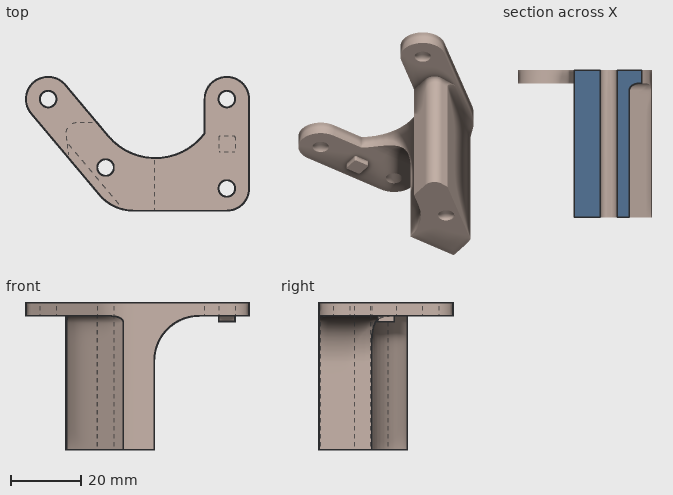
import cadquery as cq
import math

plate_thickness = 3.81
hole_diameter = 4.65
hole_pitch = 25.4
lug_radius = 6.35
arm_angle = math.radians(50)
bend_radius = 12.7
scoop_radius = 17.46
scoop_center_x = 5.08

leg_height = 38.1
leg_right_x = 4.8
leg_gusset_radius = 12.7
leg_left_x = -20.1
leg_left_tilt = math.radians(7)
leg_back_y = 18.8
leg_corner_radius = 3.1
recess_depth = 2.54
recess_fillet_radius = 1.905

pad_width = 4.65
pad_height = 1.6
pad_corner_radius = 0.5

cutter_reach = 50.8

right_front_hole = (hole_pitch, 0)
right_back_hole = (hole_pitch, hole_pitch)
arm_end_hole = (-hole_pitch, hole_pitch)
front_y = -lug_radius

arm_direction = (math.cos(arm_angle), -math.sin(arm_angle))
arm_normal = (math.sin(arm_angle), math.cos(arm_angle))


def offset(point, along, across):
    """Move a point along the slanted arm and across it, towards the inner edge."""
    return (
        point[0] + along * arm_direction[0] + across * arm_normal[0],
        point[1] + along * arm_direction[1] + across * arm_normal[1],
    )


def polar(center, radius, angle):
    """Point on a circle at an angle measured from the first axis."""
    return (center[0] + radius * math.cos(angle), center[1] + radius * math.sin(angle))


def x_at(y, across):
    """X of the point at ordinate y that lies a given distance across from the arm's centre line."""
    return arm_end_hole[0] + (across - (y - arm_end_hole[1]) * arm_normal[1]) / arm_normal[0]


def y_at(x, across):
    """Y of the point at abscissa x that lies a given distance across from the arm's centre line."""
    return arm_end_hole[1] + (across - (x - arm_end_hole[0]) * arm_normal[0]) / arm_normal[1]


arm_middle_hole = offset(arm_end_hole, hole_pitch, 0)

bend_center_y = front_y + bend_radius
bend_center = (x_at(bend_center_y, bend_radius - lug_radius), bend_center_y)

scoop_center_y = y_at(scoop_center_x, lug_radius + scoop_radius)
scoop_center = (scoop_center_x, scoop_center_y)
scoop_start = offset(scoop_center, 0, -scoop_radius)
scoop_bottom = (scoop_center_x, scoop_center_y - scoop_radius)
lug_inner_x = hole_pitch - lug_radius
scoop_end = (
    lug_inner_x,
    scoop_center_y - math.sqrt(scoop_radius**2 - (lug_inner_x - scoop_center_x) ** 2),
)

gusset_end_x = leg_right_x + leg_gusset_radius


def extrude_between(outline, bottom_z, top_z):
    return outline.extrude(top_z - bottom_z).translate((0, 0, bottom_z))


def plate_outline():
    right_x = hole_pitch + lug_radius
    bend_start = offset(bend_center, 0, -bend_radius)
    bend_middle = polar(bend_center, bend_radius, -(math.pi + arm_angle) / 2)
    return (
        cq.Workplane("XY")
        .moveTo(*offset(arm_end_hole, 0, -lug_radius))
        .lineTo(*bend_start)
        .threePointArc(bend_middle, (bend_center[0], front_y))
        .lineTo(hole_pitch, front_y)
        .threePointArc(polar(right_front_hole, lug_radius, -math.pi / 4), (right_x, 0))
        .lineTo(right_x, hole_pitch)
        .threePointArc((hole_pitch, hole_pitch + lug_radius), (lug_inner_x, hole_pitch))
        .lineTo(*scoop_end)
        .threePointArc(scoop_bottom, scoop_start)
        .lineTo(*offset(arm_end_hole, 0, lug_radius))
        .threePointArc(offset(arm_end_hole, -lug_radius, 0), offset(arm_end_hole, 0, -lug_radius))
        .close()
    )


def leg_block():
    """Upright block bounded by the leg's left and back sides and the far end of the gusset."""
    face_corner_y = y_at(leg_left_x, recess_depth - lug_radius)
    slope = math.tan(leg_left_tilt)
    outline = (
        cq.Workplane("XY")
        .moveTo(leg_left_x + (face_corner_y - front_y) * slope, front_y)
        .lineTo(leg_left_x - (leg_back_y - face_corner_y) * slope, leg_back_y)
        .lineTo(gusset_end_x, leg_back_y)
        .lineTo(gusset_end_x, front_y)
        .close()
    )
    block = extrude_between(outline, -leg_height, 0)
    return block.edges("|Z").edges("<X").fillet(leg_corner_radius)


def gusset_cutter():
    """Space to the right of the leg, rounded where the leg runs out into the plate."""
    arc_center = (gusset_end_x, -leg_gusset_radius)
    return (
        cq.Workplane("XZ")
        .moveTo(leg_right_x, -leg_height)
        .lineTo(leg_right_x, -leg_gusset_radius)
        .threePointArc(polar(arc_center, leg_gusset_radius, 3 * math.pi / 4), (gusset_end_x, 0))
        .lineTo(gusset_end_x, -leg_height)
        .close()
        .extrude(cutter_reach, both=True)
    )


def recess_cutter():
    """Strip along the slanted plate edge, with a fillet where the leg face meets the plate."""
    strip = cq.Workplane("XY").box(
        2 * cutter_reach, 2 * recess_depth, leg_height, centered=(True, True, False)
    )
    strip = strip.edges(">Y and >Z").fillet(recess_fillet_radius)
    edge_point = offset(arm_end_hole, 0, -lug_radius)
    return strip.rotate((0, 0, 0), (0, 0, 1), -math.degrees(arm_angle)).translate(
        (edge_point[0], edge_point[1], -leg_height)
    )


def leg():
    outline_prism = extrude_between(plate_outline(), -leg_height, 0)
    return outline_prism.intersect(leg_block()).cut(gusset_cutter()).cut(recess_cutter())


def pad():
    middle_y = hole_pitch / 2
    block = cq.Workplane("XY").box(pad_width, pad_width, pad_height, centered=(True, True, False))
    return block.edges("|Z").fillet(pad_corner_radius).translate((hole_pitch, middle_y, -pad_height))


def screw_holes():
    centers = [arm_end_hole, arm_middle_hole, right_front_hole, right_back_hole]
    circles = cq.Workplane("XY").pushPoints(centers).circle(hole_diameter / 2)
    return extrude_between(circles, -leg_height, plate_thickness)


plate = extrude_between(plate_outline(), 0, plate_thickness)
result = plate.union(leg()).union(pad()).cut(screw_holes())